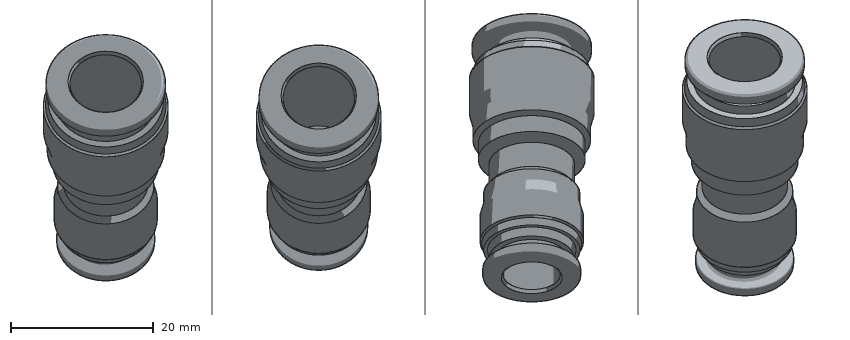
import cadquery as cq

LENGTH = 38.5

FLANGE_THICKNESS = 1.58
FLANGE_EDGE_RADIUS = 0.5
FLANGE_ROOT_RADIUS = 0.58
FLANGE_BACK_EDGE_RADIUS = 0.2
LARGE_FLANGE_DIAMETER = 16.8
SMALL_FLANGE_DIAMETER = 13.8
LARGE_SLEEVE_DIAMETER = 12.0
SMALL_SLEEVE_DIAMETER = 10.0

PASSAGE_DIAMETER = 7.0
LARGE_SOCKET_DIAMETER = 10.0
SMALL_SOCKET_DIAMETER = 8.0
SOCKET_DEPTH = 17.7
LEAD_IN_WIDTH = 0.27
LEAD_IN_DEPTH = 0.5

LOWER_BODY_START = 3.25
UPPER_BODY_END = 35.25
WAIST_DIAMETER = 12.0
BODY_CORNERS = [
    (11.85, LOWER_BODY_START),
    (12.45, 4.55),
    (13.5, 4.55),
    (14.0, 5.62),
    (14.5, 5.9),
    (14.5, 10.1),
    (13.5, 12.0),
    (13.5, 13.8),
    (WAIST_DIAMETER, 14.63),
    (WAIST_DIAMETER, 18.6),
    (15.0, 19.45),
    (15.0, 22.05),
    (16.5, 22.55),
    (16.5, 25.18),
    (17.5, 27.1),
    (17.5, 32.6),
    (16.9, 32.88),
    (16.2, 34.07),
    (14.3, 34.07),
    (13.55, UPPER_BODY_END),
]


def body():
    """Solid of revolution for the stepped body between the collars."""
    outline = [(0, LOWER_BODY_START)]
    outline += [(diameter / 2, height) for diameter, height in BODY_CORNERS]
    outline += [(0, UPPER_BODY_END)]
    return cq.Workplane("XZ").polyline(outline).close().revolve(360, (0, 0, 0), (0, 1, 0))


def collar(flange_diameter, sleeve_diameter, reach):
    """Flange on Z = 0 with a sleeve rising to the given height."""
    flange_radius = flange_diameter / 2
    sleeve_radius = sleeve_diameter / 2
    back_edge_end = (flange_radius - FLANGE_BACK_EDGE_RADIUS, FLANGE_THICKNESS)
    root_top = (sleeve_radius, FLANGE_THICKNESS + FLANGE_ROOT_RADIUS)
    profile = (
        cq.Workplane("XZ")
        .lineTo(flange_radius - FLANGE_EDGE_RADIUS, 0)
        .radiusArc((flange_radius, FLANGE_EDGE_RADIUS), -FLANGE_EDGE_RADIUS)
        .lineTo(flange_radius, FLANGE_THICKNESS - FLANGE_BACK_EDGE_RADIUS)
        .radiusArc(back_edge_end, -FLANGE_BACK_EDGE_RADIUS)
        .lineTo(sleeve_radius + FLANGE_ROOT_RADIUS, FLANGE_THICKNESS)
        .radiusArc(root_top, FLANGE_ROOT_RADIUS)
        .lineTo(sleeve_radius, reach)
        .lineTo(0, reach)
        .close()
    )
    return profile.revolve(360, (0, 0, 0), (0, 1, 0))


def socket(diameter):
    """Cutter for a tube socket opening at Z = 0, with a conical lead-in."""
    radius = diameter / 2
    outline = [
        (0, 0),
        (radius + LEAD_IN_WIDTH, 0),
        (radius, LEAD_IN_DEPTH),
        (radius, SOCKET_DEPTH),
        (0, SOCKET_DEPTH),
    ]
    return cq.Workplane("XZ").polyline(outline).close().revolve(360, (0, 0, 0), (0, 1, 0))


def at_large_end(shape):
    """Turn a shape made for the small end over onto the large end."""
    return shape.rotate((0, 0, 0), (1, 0, 0), 180).translate((0, 0, LENGTH))


small_collar = collar(SMALL_FLANGE_DIAMETER, SMALL_SLEEVE_DIAMETER, LOWER_BODY_START)
large_collar = collar(LARGE_FLANGE_DIAMETER, LARGE_SLEEVE_DIAMETER, LENGTH - UPPER_BODY_END)
passage = cq.Workplane("XY").circle(PASSAGE_DIAMETER / 2).extrude(LENGTH)

result = (
    body()
    .union(small_collar)
    .union(at_large_end(large_collar))
    .cut(passage)
    .cut(socket(SMALL_SOCKET_DIAMETER))
    .cut(at_large_end(socket(LARGE_SOCKET_DIAMETER)))
)